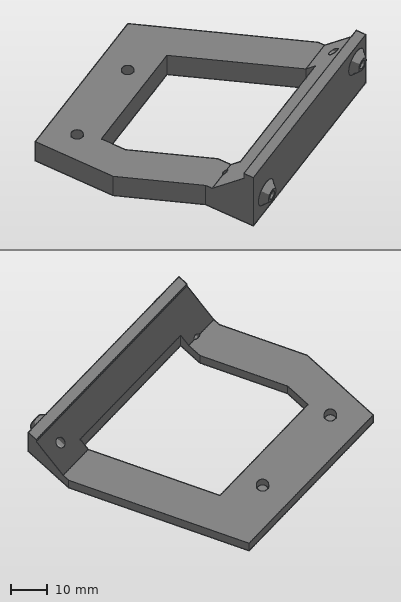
import cadquery as cq
import math

PLATE_THICKNESS = 8.0
FRAME_DEPTH = 70.0
BAR_WIDTH = 10.0
WINDOW_LEFT = 15.0
WINDOW_RIGHT = 53.0
ARM_SLOPE = 15.0 / 35.0
WINDOW_ARM_END = 50.0

WALL_RIGHT = 63.0
WALL_FRONT = 10.0
WALL_HEIGHT = 20.0
LIP_THICKNESS = 3.0
LIP_HEIGHT = 2.0

RAIL_HOLE_DIAMETER = 3.4
RAIL_HOLE_DEPTH = 6.0
RAIL_HOLE_X = 8.5
RAIL_HOLE_YS = (8.0, 35.0)

BOSS_CENTRES = ((64.9, 13.75), (16.7, 7.35))
BOSS_BASE_RADIUS = 4.0
BOSS_TIP_RADIUS = 2.0
BOSS_LENGTH = 2.0
BORE_DIAMETER = 2.5
DRILL_POINT_ANGLE = 118.0

lip_left = WALL_RIGHT - LIP_THICKNESS
ramp_top = WALL_HEIGHT - LIP_HEIGHT
ramp_start = lip_left - (ramp_top - PLATE_THICKNESS)

arm_angle = math.atan(ARM_SLOPE)
arm_offset_y = BAR_WIDTH / math.cos(arm_angle)
arm_offset_x = BAR_WIDTH / math.sin(arm_angle)

window_rear = FRAME_DEPTH - BAR_WIDTH
window_front = BAR_WIDTH
window_front_right = WALL_FRONT + BAR_WIDTH
window_rear_left = window_rear - ARM_SLOPE * (WINDOW_ARM_END - WINDOW_LEFT)

outer_rear_left = window_rear_left + arm_offset_y - ARM_SLOPE * WINDOW_LEFT
outer_arm_end = (FRAME_DEPTH - outer_rear_left) / ARM_SLOPE
outer_front_arm_start = outer_arm_end - WALL_FRONT / ARM_SLOPE


def front_window_edge_x(y):
    """X of the window's front slanted edge at a given Y."""
    return outer_front_arm_start + y / ARM_SLOPE - arm_offset_x


def make_plate():
    outline = [
        (0, 0),
        (outer_front_arm_start, 0),
        (outer_arm_end, WALL_FRONT),
        (WALL_RIGHT, WALL_FRONT),
        (WALL_RIGHT, FRAME_DEPTH),
        (outer_arm_end, FRAME_DEPTH),
        (0, outer_rear_left),
    ]
    return cq.Workplane("XY").polyline(outline).close().extrude(PLATE_THICKNESS)


def make_wall():
    profile = [
        (ramp_start, 0),
        (WALL_RIGHT, 0),
        (WALL_RIGHT, WALL_HEIGHT),
        (lip_left, WALL_HEIGHT),
        (lip_left, ramp_top),
        (ramp_start, PLATE_THICKNESS),
    ]
    wall_length = FRAME_DEPTH - WALL_FRONT
    start_plane = cq.Workplane("XZ", origin=(0, FRAME_DEPTH, 0))
    return start_plane.polyline(profile).close().extrude(wall_length)


def make_window():
    outline = [
        (WINDOW_LEFT, window_front),
        (front_window_edge_x(window_front), window_front),
        (front_window_edge_x(window_front_right), window_front_right),
        (WINDOW_RIGHT, window_front_right),
        (WINDOW_RIGHT, window_rear),
        (WINDOW_ARM_END, window_rear),
        (WINDOW_LEFT, window_rear_left),
    ]
    return cq.Workplane("XY").polyline(outline).close().extrude(WALL_HEIGHT)


def make_rail_holes():
    hole_floor = cq.Workplane("XY", origin=(0, 0, PLATE_THICKNESS - RAIL_HOLE_DEPTH))
    centres = [(RAIL_HOLE_X, y) for y in RAIL_HOLE_YS]
    return hole_floor.pushPoints(centres).circle(RAIL_HOLE_DIAMETER / 2).extrude(RAIL_HOLE_DEPTH)


def make_boss(y, z):
    cone = cq.Solid.makeCone(
        BOSS_BASE_RADIUS,
        BOSS_TIP_RADIUS,
        BOSS_LENGTH,
        pnt=cq.Vector(WALL_RIGHT, y, z),
        dir=cq.Vector(1, 0, 0),
    )
    return cq.Workplane("XY").add(cone)


def make_bore(y, z):
    """Bore along X through the boss tip, ending on the left in a drill point."""
    radius = BORE_DIAMETER / 2
    point_length = radius / math.tan(math.radians(DRILL_POINT_ANGLE / 2))
    inner_end = ramp_start
    outer_end = WALL_RIGHT + BOSS_LENGTH
    half_section = [
        (inner_end - point_length, z),
        (inner_end, z + radius),
        (outer_end, z + radius),
        (outer_end, z),
    ]
    plane = cq.Workplane("XZ", origin=(0, y, 0))
    return plane.polyline(half_section).close().revolve(360, (0, z), (1, z))


result = make_plate().union(make_wall()).cut(make_window()).cut(make_rail_holes())
for boss_y, boss_z in BOSS_CENTRES:
    result = result.union(make_boss(boss_y, boss_z))
    result = result.cut(make_bore(boss_y, boss_z))